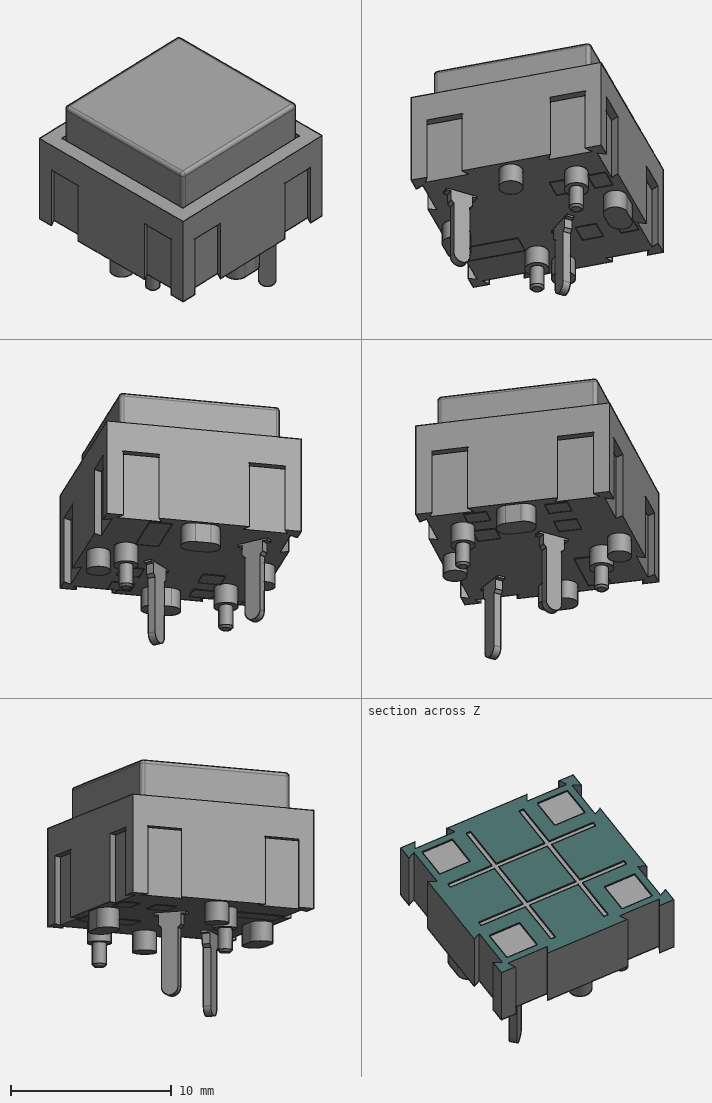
import cadquery as cq

TOTAL_HEIGHT = 14.0
CAP_RISE = 2.5
BASE_HEIGHT = 5.26
HOUSING_TOP = TOTAL_HEIGHT - CAP_RISE
SLOT_TOP = 9.58
CAVITY_FLOOR = SLOT_TOP
STANDOFF_LENGTH = 1.26
STANDOFF_BOTTOM = BASE_HEIGHT - STANDOFF_LENGTH
PEG_BOTTOM = 2.5

HOUSING_SIDE = 12.45
RIM_WIDTH = 1.0
CAVITY_SIDE = HOUSING_SIDE - 2 * RIM_WIDTH

CAP_CLEARANCE = 0.1
CAP_SIDE = CAVITY_SIDE - 2 * CAP_CLEARANCE
CAP_EDGE_RADIUS = 0.25

SLOT_DEPTH = 0.5
SLOT_WIDTH = 2.28
SLOT_OFFSET = 4.03
SLOT_FLARE = 0.27

FLOOR_RELIEF = 0.14
GROOVE_WIDTH = 0.3
GROOVE_OFFSET = 1.9
POCKET_START = 3.07

STANDOFF_DIAMETER = 1.5
STANDOFF_OFFSET = 5.28
OBROUND_LENGTH = 2.49
PEG_DIAMETER = 0.9
PEG_CHAMFER = 0.14

GRID_NEAR = 1.26
GRID_FAR = 3.81
PEG_POSITIONS = [(-GRID_FAR, GRID_FAR), (GRID_NEAR, -GRID_FAR)]

PAD_THICKNESS = 0.05
PAD_X_START = 1.88
PAD_X_END = 5.56
PAD_Y_START = 1.88
PAD_Y_END = 3.33
PAD_GAP = 1.15

BLADE_WIDTH = 1.1
BLADE_THICKNESS = 0.5
COLLAR_WIDTH = 1.5
COLLAR_BOTTOM = 4.45
SHOULDER_WIDTH = 2.1
SHOULDER_THICKNESS = 0.14
TERMINALS = [
    (-GRID_NEAR, -GRID_NEAR, -45),
    (GRID_FAR, GRID_FAR, 45),
]


def block(x_range, y_range, z_range):
    """Axis-aligned box between pairs of limits."""
    (x0, x1), (y0, y1), (z0, z1) = x_range, y_range, z_range
    return cq.Workplane("XY").box(x1 - x0, y1 - y0, z1 - z0, centered=False).translate((x0, y0, z0))


def square_prism(side, bottom, top):
    return cq.Workplane("XY").workplane(offset=bottom).rect(side, side).extrude(top - bottom)


def side_slot(offset):
    """Dovetail slot, open at the bottom, cut into the -Y wall and centred at x = offset."""
    face = -HOUSING_SIDE / 2
    floor = face + SLOT_DEPTH
    half_mouth = SLOT_WIDTH / 2
    half_floor = half_mouth + SLOT_FLARE
    return (
        cq.Workplane("XY")
        .workplane(offset=BASE_HEIGHT)
        .polyline([
            (offset - half_mouth, face),
            (offset + half_mouth, face),
            (offset + half_floor, floor),
            (offset - half_floor, floor),
        ])
        .close()
        .extrude(SLOT_TOP - BASE_HEIGHT)
    )


def cut_side_slots(body):
    for turn in (0, 90, 180, 270):
        for offset in (-SLOT_OFFSET, SLOT_OFFSET):
            body = body.cut(side_slot(offset).rotate((0, 0, 0), (0, 0, 1), turn))
    return body


def cut_floor_relief(body):
    """Crossing grooves and square corner pockets in the cavity floor."""
    half_cavity = CAVITY_SIDE / 2
    across = (-half_cavity, half_cavity)
    depth = (CAVITY_FLOOR - FLOOR_RELIEF, CAVITY_FLOOR)
    pocket_side = half_cavity - POCKET_START
    pocket_centre = (half_cavity + POCKET_START) / 2
    for sign in (-1, 1):
        centre = sign * GROOVE_OFFSET
        groove = (centre - GROOVE_WIDTH / 2, centre + GROOVE_WIDTH / 2)
        body = body.cut(block(groove, across, depth))
        body = body.cut(block(across, groove, depth))
    pockets = (
        cq.Workplane("XY")
        .workplane(offset=CAVITY_FLOOR)
        .rect(2 * pocket_centre, 2 * pocket_centre, forConstruction=True)
        .vertices()
        .rect(pocket_side, pocket_side)
        .extrude(-FLOOR_RELIEF)
    )
    return body.cut(pockets)


def standoffs():
    """Round feet at the +Y and -Y edges and at the pegs, obround feet at the +X and -X edges."""
    under = cq.Workplane("XY").workplane(offset=BASE_HEIGHT)
    round_positions = [(0, -STANDOFF_OFFSET), (0, STANDOFF_OFFSET)] + PEG_POSITIONS
    obround_positions = [(-STANDOFF_OFFSET, 0), (STANDOFF_OFFSET, 0)]
    round_feet = (
        under.pushPoints(round_positions).circle(STANDOFF_DIAMETER / 2).extrude(-STANDOFF_LENGTH)
    )
    obround_feet = (
        under.pushPoints(obround_positions)
        .slot2D(OBROUND_LENGTH, STANDOFF_DIAMETER, 90)
        .extrude(-STANDOFF_LENGTH)
    )
    return round_feet.union(obround_feet)


def pegs():
    return (
        cq.Workplane("XY")
        .workplane(offset=STANDOFF_BOTTOM)
        .pushPoints(PEG_POSITIONS)
        .circle(PEG_DIAMETER / 2)
        .extrude(PEG_BOTTOM - STANDOFF_BOTTOM)
        .faces("<Z")
        .chamfer(PEG_CHAMFER)
    )


def underside_pads():
    """Thin pads in three quadrants; a terminal takes the fourth. The -X pads have a break."""
    front = (-PAD_Y_END, -PAD_Y_START)
    back = (PAD_Y_START, PAD_Y_END)
    height = (BASE_HEIGHT - PAD_THICKNESS, BASE_HEIGHT)
    outer_piece = (-PAD_X_END, -GRID_FAR - PAD_GAP / 2)
    inner_piece = (-GRID_FAR + PAD_GAP / 2, -PAD_X_START)
    pads = block((PAD_X_START, PAD_X_END), front, height)
    for side in (front, back):
        for piece in (outer_piece, inner_piece):
            pads = pads.union(block(piece, side, height))
    return pads


def make_housing():
    body = square_prism(HOUSING_SIDE, BASE_HEIGHT, HOUSING_TOP)
    body = body.cut(square_prism(CAVITY_SIDE, CAVITY_FLOOR, HOUSING_TOP))
    body = cut_floor_relief(body)
    body = cut_side_slots(body)
    return body.union(underside_pads()).union(standoffs()).union(pegs())


def make_cap():
    """Square button with rounded upright and top edges, resting on the cavity floor."""
    return square_prism(CAP_SIDE, CAVITY_FLOOR, TOTAL_HEIGHT).edges("|Z or >Z").fillet(CAP_EDGE_RADIUS)


def make_terminal(x, y, turn):
    """Upright blade with a round tip, a tapered collar and a shoulder against the housing."""
    half_blade = BLADE_WIDTH / 2
    half_collar = COLLAR_WIDTH / 2
    half_shoulder = SHOULDER_WIDTH / 2
    taper_bottom = COLLAR_BOTTOM - (half_collar - half_blade)
    shoulder_bottom = BASE_HEIGHT - SHOULDER_THICKNESS
    blade = (
        cq.Workplane("XZ")
        .moveTo(-half_blade, half_blade)
        .threePointArc((0, 0), (half_blade, half_blade))
        .lineTo(half_blade, taper_bottom)
        .lineTo(half_collar, COLLAR_BOTTOM)
        .lineTo(half_collar, shoulder_bottom)
        .lineTo(half_shoulder, shoulder_bottom)
        .lineTo(half_shoulder, BASE_HEIGHT)
        .lineTo(-half_shoulder, BASE_HEIGHT)
        .lineTo(-half_shoulder, shoulder_bottom)
        .lineTo(-half_collar, shoulder_bottom)
        .lineTo(-half_collar, COLLAR_BOTTOM)
        .lineTo(-half_blade, taper_bottom)
        .close()
        .extrude(BLADE_THICKNESS / 2, both=True)
    )
    return blade.rotate((0, 0, 0), (0, 0, 1), turn).translate((x, y, 0))


housing = make_housing()
cap = make_cap()
terminals = [make_terminal(*placement) for placement in TERMINALS]

result = cq.Compound.makeCompound([
    housing.val(),
    cap.val(),
    *[terminal.val() for terminal in terminals],
])